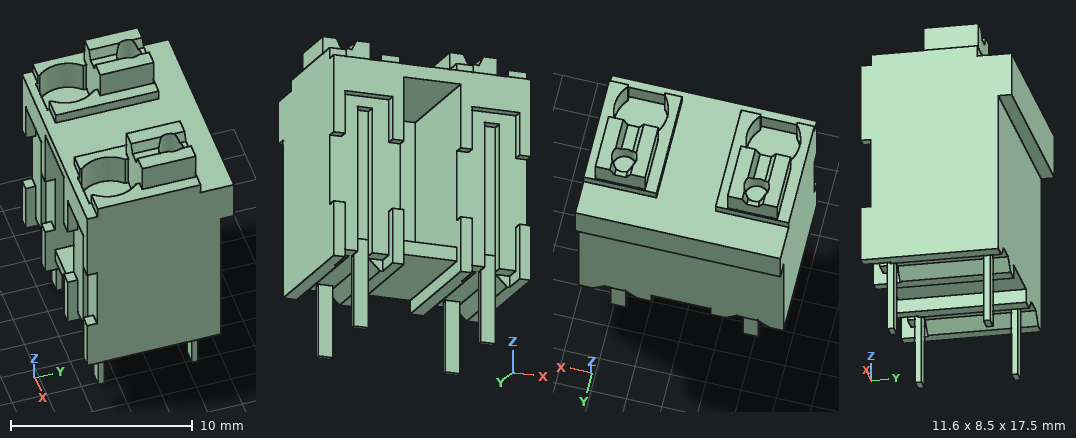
import cadquery as cq


pole_width = 4.14
pole_pitch = 7.49
pole_centres = [-pole_pitch / 2, pole_pitch / 2]

housing_width = pole_pitch + pole_width
housing_depth = 7.75
housing_bottom = 3.52
housing_top = 15.2
overhang = 0.75
overhang_bottom = 12.7

front_notch_depth = 0.58
front_notch_bottom = 6.7
front_notch_top = 10.71

bay_top = 14.41
bay_floor_top = 5.11
bay_floor_thickness = 0.8
bay_floor_bottom = bay_floor_top - bay_floor_thickness
bay_back = housing_depth - bay_floor_thickness

leg_width = 0.66
recess_width = pole_width - 2 * leg_width
recess_top = 13.2

pin_width = 0.85
pin_thickness = 0.37
pin_top = bay_floor_top
front_pin_y = 1.17
back_pin_y = 6.58
slot_top = 12.58

groove_top = 4.17
groove_mouth_width = 2.51
groove_roof_width = 1.17
underside_relief_depth = front_pin_y + pin_thickness

pad_top = 15.81
pad_front = 0.61
pad_back = 6.56

entry_floor = 13.9
entry_offset = -0.07
entry_front = 0.49
entry_arc_front = 0.73
entry_arc_middle = 1.94
entry_arc_back = 3.21
entry_front_width = 2.08
entry_bulge_width = 2.98

lever_width = recess_width
lever_front = 3.4
lever_back = 6.5
lever_top = 17.45
stem_width = 1.95
lever_groove_depth = 0.54
lever_groove_mouth_width = 1.17
lever_groove_floor_width = 0.65
lever_hole_diameter = 1.38
lever_hole_y = 5.53
lever_hole_depth = 1.57


def block(x_middle, width, front, back, bottom, top):
    """Box centred on x_middle along X and spanning front-back along Y and bottom-top along Z."""
    size = (width, back - front, top - bottom)
    return cq.Workplane().box(*size, centered=(True, False, False)).translate((x_middle, front, bottom))


def trapezoid_bar(x_middle, front, back, low_width, low_z, high_width, high_z):
    """Bar along Y with a symmetric trapezoid section."""
    section = [
        (x_middle - low_width / 2, low_z),
        (x_middle + low_width / 2, low_z),
        (x_middle + high_width / 2, high_z),
        (x_middle - high_width / 2, high_z),
    ]
    return cq.Workplane("XZ", origin=(0, front, 0)).polyline(section).close().extrude(front - back)


def wire_entry(pole_x):
    """Cutter for the wire entry and, behind it, the seat of the lever stem."""
    half_front = entry_front_width / 2
    half_bulge = entry_bulge_width / 2
    half_stem = stem_width / 2
    return (
        cq.Workplane(origin=(pole_x + entry_offset, 0, entry_floor))
        .moveTo(-half_front, entry_front)
        .lineTo(half_front, entry_front)
        .lineTo(half_front, entry_arc_front)
        .threePointArc((half_bulge, entry_arc_middle), (half_stem, entry_arc_back))
        .lineTo(half_stem, lever_back)
        .lineTo(-half_stem, lever_back)
        .lineTo(-half_stem, entry_arc_back)
        .threePointArc((-half_bulge, entry_arc_middle), (-half_front, entry_arc_front))
        .close()
        .extrude(pad_top - entry_floor)
    )


def make_pin(pole_x, front):
    return block(pole_x, pin_width, front, front + pin_thickness, 0, pin_top)


def make_housing():
    body = block(0, housing_width, 0, housing_depth, housing_bottom, housing_top)
    overhang_back = housing_depth + overhang
    body = body.union(block(0, housing_width, 0, overhang_back, overhang_bottom, housing_top))

    body = body.cut(block(0, housing_width, 0, front_notch_depth, front_notch_bottom, front_notch_top))
    bay_width = pole_pitch - pole_width
    body = body.cut(block(0, bay_width, 0, bay_back, bay_floor_top, bay_top))
    body = body.cut(block(0, bay_width, 0, housing_depth, housing_bottom, bay_floor_bottom))
    body = body.cut(block(0, bay_width, 0, front_notch_depth, housing_bottom, bay_floor_top))

    for pole_x in pole_centres:
        body = body.union(block(pole_x, pole_width, pad_front, pad_back, housing_top, pad_top))
        body = body.cut(wire_entry(pole_x))

        body = body.cut(block(pole_x, recess_width, 0, front_notch_depth, housing_bottom, recess_top))
        body = body.cut(block(pole_x, pin_width, 0, front_pin_y, housing_bottom, slot_top))

        body = body.cut(block(pole_x, recess_width, 0, underside_relief_depth, housing_bottom, groove_top))
        body = body.cut(
            trapezoid_bar(
                pole_x, 0, housing_depth, groove_mouth_width, housing_bottom, groove_roof_width, groove_top
            )
        )

        for front in (front_pin_y, back_pin_y):
            body = body.cut(make_pin(pole_x, front))
    return body


def make_lever(pole_x):
    head = block(pole_x, lever_width, lever_front, lever_back, pad_top, lever_top)
    stem = block(pole_x + entry_offset, stem_width, lever_front, lever_back, entry_floor, pad_top)
    groove = trapezoid_bar(
        pole_x,
        lever_front,
        lever_back,
        lever_groove_floor_width,
        lever_top - lever_groove_depth,
        lever_groove_mouth_width,
        lever_top,
    )
    hole = (
        cq.Workplane(origin=(pole_x, lever_hole_y, lever_top))
        .circle(lever_hole_diameter / 2)
        .extrude(-lever_hole_depth)
    )
    return head.union(stem).cut(groove).cut(hole)


housing = make_housing()
levers = [make_lever(pole_x) for pole_x in pole_centres]
pins = [make_pin(pole_x, front) for pole_x in pole_centres for front in (front_pin_y, back_pin_y)]

bodies = [housing, *levers, *pins]
result = cq.Compound.makeCompound([body.solids().val() for body in bodies])